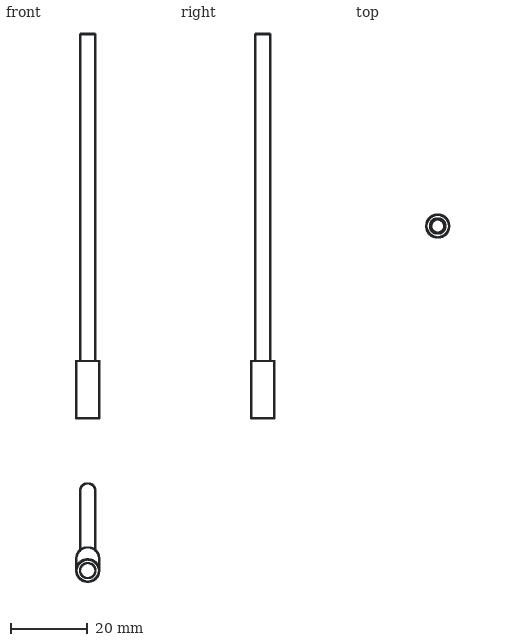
import cadquery as cq

rod_length = 100.0
rod_diameter = 4.0
rod_top_chamfer = 0.3

sleeve_diameter = 6.0
sleeve_length = 15.0
sleeve_bottom_chamfer = 0.1


def make_sleeve():
    """Tube bored to the rod diameter, with its lower outer edge broken."""
    body = cq.Workplane("XY").circle(sleeve_diameter / 2).extrude(sleeve_length)
    body = body.faces("<Z").edges().chamfer(sleeve_bottom_chamfer)
    bore = cq.Workplane("XY").circle(rod_diameter / 2).extrude(sleeve_length)
    return body.cut(bore)


def make_rod():
    """Round rod with a chamfered top, its lower end flush with the sleeve."""
    body = cq.Workplane("XY").circle(rod_diameter / 2).extrude(rod_length)
    return body.faces(">Z").edges().chamfer(rod_top_chamfer)


sleeve = make_sleeve()
rod = make_rod()

result = cq.Compound.makeCompound([sleeve.val(), rod.val()])